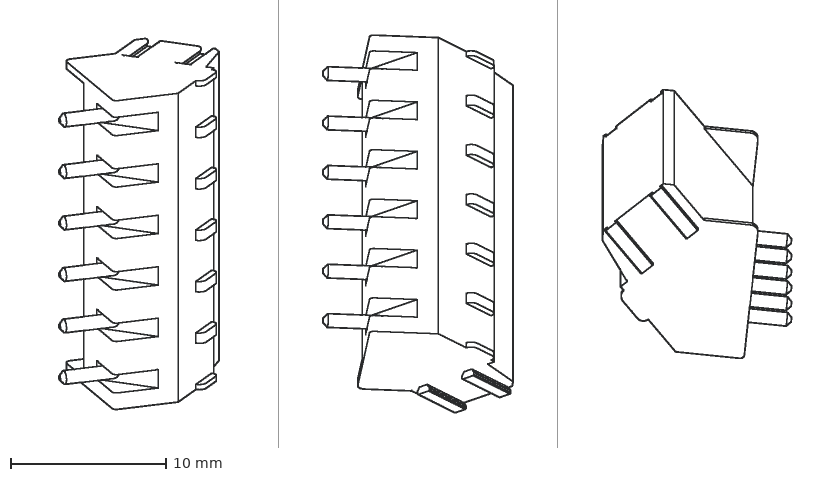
import cadquery as cq
import math

OVERALL_HEIGHT = 21.5
RAIL_HEIGHT = 0.5
POLE_COUNT = 6
BODY_HEIGHT = OVERALL_HEIGHT - RAIL_HEIGHT
PITCH = BODY_HEIGHT / POLE_COUNT

MOUTH_WIDTH = 5.95
MOUTH_CHAMFER = 0.5
SHROUD_BASE_WIDTH = 6.45
SHROUD_DEPTH = 3.65

RIGHT_WALL_X = 7.0
RIGHT_WALL_END_Y = -9.3
LEFT_WALL_END_Y = -8.58
SHOULDER_Y = -3.57
FLANGE_THICKNESS = 0.5
FLANGE_RADIUS = 0.5
NOSE_RADIUS = 0.28

KEY_HEIGHT = 0.7
KEY_PROJECTION = 0.5
KEY_TOP_Y = -4.0
KEY_LENGTH = 2.5
KEY_RADIUS = KEY_PROJECTION
KEY_EMBED = 0.22

SLOT_HEIGHT = 1.25
SLOT_FLOOR_Y = -10.28
PIN_DIAMETER = 0.9
PIN_CHAMFER = 0.3
PIN_FLOOR_X = 2.62
PIN_END_Y = -12.84
PIN_EMBED = 1.72

RAIL_CENTRES = (1.1, 4.84)
RAIL_LENGTH = 3.72
RAIL_ROOT_WIDTH = 0.65
RAIL_WIDTH = 1.0
RAIL_FLARE_HEIGHT = 0.28
RAIL_EDGE_BEVEL = 0.06
GROOVE_DEPTH = 0.5
GROOVE_MOUTH_WIDTH = 1.12
GROOVE_LIP_RADIUS = 0.183
GROOVE_UNDERCUT = 0.09
GROOVE_FLOOR_WIDTH = 0.85

FLANGE_TIP = ((LEFT_WALL_END_Y - SHOULDER_Y) / 2, (SHOULDER_Y + LEFT_WALL_END_Y) / 2)
NOSE_X = (RIGHT_WALL_X - RIGHT_WALL_END_Y + LEFT_WALL_END_Y) / 2
NOSE = (NOSE_X, LEFT_WALL_END_Y - NOSE_X)
POLE_CENTRES = [(pole + 0.5) * PITCH for pole in range(POLE_COUNT)]


def make_core():
    """Full-height housing with a straight left wall."""
    outline = [
        (0, LEFT_WALL_END_Y),
        (0, -MOUTH_CHAMFER),
        (MOUTH_CHAMFER, 0),
        (MOUTH_WIDTH - MOUTH_CHAMFER, 0),
        (MOUTH_WIDTH, -MOUTH_CHAMFER),
        (SHROUD_BASE_WIDTH, -SHROUD_DEPTH),
        (RIGHT_WALL_X, -SHROUD_DEPTH),
        (RIGHT_WALL_X, RIGHT_WALL_END_Y),
        NOSE,
    ]
    core = cq.Workplane("XY").polyline(outline).close().extrude(BODY_HEIGHT)
    nose_edge = cq.selectors.NearestToPointSelector((*NOSE, BODY_HEIGHT / 2))
    return core.edges(nose_edge).fillet(NOSE_RADIUS)


def make_flange(base_z):
    """Triangular end wing whose solder-side edge continues the lower-left solder face."""
    outline = [(0, SHOULDER_Y), (0, LEFT_WALL_END_Y), FLANGE_TIP]
    flange = cq.Workplane("XY").workplane(offset=base_z).polyline(outline).close().extrude(FLANGE_THICKNESS)
    return flange.edges("|Z").edges("<X").fillet(FLANGE_RADIUS)


def make_key(centre_z):
    """Coding key with rounded outer corners, trimmed to the height of the housing."""
    low = max(0, centre_z - KEY_HEIGHT / 2)
    high = min(BODY_HEIGHT, centre_z + KEY_HEIGHT / 2)
    key = cq.Workplane("XY").box(KEY_EMBED + KEY_PROJECTION, KEY_LENGTH, high - low, centered=False)
    key = key.edges("|Z").edges(">X").fillet(KEY_RADIUS)
    return key.translate((RIGHT_WALL_X - KEY_EMBED, KEY_TOP_Y - KEY_LENGTH, low))


def make_slot(centre_z):
    """Slot across the nose of the housing, open on both solder faces."""
    width = RIGHT_WALL_X
    depth = SLOT_FLOOR_Y - NOSE[1]
    slot = cq.Workplane("XY").box(width, depth, SLOT_HEIGHT, centered=(False, False, True))
    return slot.translate((0, NOSE[1], centre_z))


def make_pin(centre_z):
    """Round pin along the diagonal (-1, -1, 0) with a chamfered free end."""
    radius = PIN_DIAMETER / 2
    shank_drop = SLOT_FLOOR_Y - PIN_END_Y - radius * math.sqrt(0.5)
    exposed = shank_drop * math.sqrt(2) + PIN_CHAMFER
    embed = PIN_EMBED * math.sqrt(0.5)
    start = (PIN_FLOOR_X + embed, SLOT_FLOOR_Y + embed, centre_z)
    axis_plane = cq.Plane(origin=start, xDir=(0, 0, 1), normal=(-1, -1, 0))
    pin = cq.Workplane(axis_plane).circle(radius).extrude(PIN_EMBED + exposed)
    return pin.faces(cq.DirectionMinMaxSelector(cq.Vector(-1, -1, 0))).chamfer(PIN_CHAMFER)


def make_rail(centre_x):
    """Flared rail running back from the mating face under the housing."""
    root = RAIL_ROOT_WIDTH / 2
    half = RAIL_WIDTH / 2
    rail = (
        cq.Workplane("XZ")
        .moveTo(centre_x - root, 0)
        .lineTo(centre_x - half, -RAIL_FLARE_HEIGHT)
        .lineTo(centre_x - half, -RAIL_HEIGHT)
        .lineTo(centre_x + half, -RAIL_HEIGHT)
        .lineTo(centre_x + half, -RAIL_FLARE_HEIGHT)
        .lineTo(centre_x + root, 0)
        .close()
        .extrude(RAIL_LENGTH)
    )
    return rail.faces("<Z").edges("|Y").chamfer(RAIL_EDGE_BEVEL)


def make_groove(centre_x):
    """Groove with rounded lips and undercut sides that curve back in to the floor."""
    mouth = GROOVE_MOUTH_WIDTH / 2
    neck = mouth - GROOVE_LIP_RADIUS
    undercut = neck + GROOVE_UNDERCUT
    floor = GROOVE_FLOOR_WIDTH / 2
    lip_depth = GROOVE_LIP_RADIUS + math.sqrt(GROOVE_LIP_RADIUS**2 - (mouth - undercut) ** 2)
    hollow_depth = (lip_depth + GROOVE_DEPTH) / 2
    half = (
        cq.Workplane("XZ")
        .moveTo(0, 0)
        .lineTo(mouth, 0)
        .threePointArc((neck, -GROOVE_LIP_RADIUS), (undercut, -lip_depth))
        .threePointArc((undercut, -hollow_depth), (floor, -GROOVE_DEPTH))
        .lineTo(0, -GROOVE_DEPTH)
        .close()
        .extrude(SHROUD_DEPTH)
    )
    return half.union(half.mirror("YZ")).translate((centre_x, 0, BODY_HEIGHT))


result = make_core()
for base_z in (0, BODY_HEIGHT - FLANGE_THICKNESS):
    result = result.union(make_flange(base_z))
for boundary in range(POLE_COUNT + 1):
    result = result.union(make_key(boundary * PITCH))
for centre_x in RAIL_CENTRES:
    result = result.union(make_rail(centre_x))
    result = result.cut(make_groove(centre_x))
for centre_z in POLE_CENTRES:
    result = result.cut(make_slot(centre_z))
    result = result.union(make_pin(centre_z))